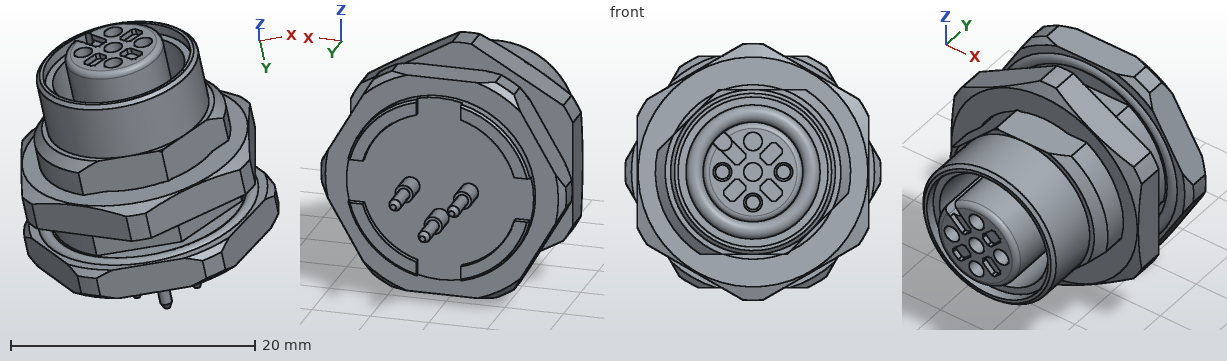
import cadquery as cq
import math


SHROUD_FRONT = 1.5
BODY_FRONT = 6.5
NUT_FRONT = 9.45
NUT_BACK = 12.32
FLANGE_FRONT = 15.3
FLANGE_BACK = 18.03
COLLAR_BACK = 18.53
CROWN_BACK = 19.02
PIN_SHOULDER = 20.5
PIN_TIP = 23.6

BODY_DIAMETER = 16.0
BODY_CHAMFER = 0.8
SHROUD_DIAMETER = 13.5
SHROUD_CHAMFER = 0.3
BODY_FLAT_DISTANCE = SHROUD_DIAMETER / 2
BODY_FLAT_ANGLES = (90, 135, 270, 315)

MOUTH_DIAMETER = 12.3
MOUTH_DEPTH = 0.9
BORE_DIAMETER = 11.0
SEAL_CENTRE = 9.45
INSERT_DIAMETER = 8.17
INSERT_FILLET = 0.5
SEAL_CORD_RADIUS = (BORE_DIAMETER - INSERT_DIAMETER) / 4

HEX_ACROSS_FLATS = 19.0
NUT_CORNER_DIAMETER = 21.05
NUT_FACE_DIAMETER = 18.83
NUT_BORE_DIAMETER = 14.3
NUT_CHAMFER_LENGTH = 0.5
FLANGE_CORNER_DIAMETER = 20.95
FLANGE_CHAMFER = 0.52

GASKET_CORD = 1.2
GASKET_RADIUS = 8.68
GASKET_PROTRUSION = 0.28

CROWN_BORE = SHROUD_DIAMETER
CROWN_CHAMFER = 0.2
CROWN_SLOT_WIDTH = 3.8

CONTACT_RADIUS = 2.5
CONTACT_POINTS = [(-CONTACT_RADIUS, 0), (CONTACT_RADIUS, 0), (0, -CONTACT_RADIUS)]
EMPTY_POINTS = [(0, 0), (0, CONTACT_RADIUS)]
HOLE_DIAMETER = 1.5
HOLE_DEPTH = 4.72
CONTACT_BORE_DIAMETER = 1.15
CONTACT_BORE_DEPTH = 7.08
PIN_DIAMETER = 1.0
PIN_TIP_DIAMETER = 0.5
PIN_TIP_LENGTH = 0.52

POCKET_LENGTH = 1.77
POCKET_WIDTH = 1.23
POCKET_CHAMFER = 0.24
POCKET_DEPTH = 0.5
POCKET_RADIUS = 2.12
POCKET_ANGLES = (45, 135, 225, 315)
KEY_ANGLE = 135
KEY_DIAMETER = 1.32
KEY_CENTRE_RADIUS = 3.4


def revolve(profile):
    """Turn a closed (radius, y) profile about the Y axis."""
    return profile.close().revolve(360, (0, 0, 0), (0, 1, 0))


def turned(points):
    return revolve(cq.Workplane("XY").polyline(points))


def xz_plane(y):
    """Workplane at station y on the axis: local x is X, local y is Z, extrusions run towards -Y."""
    return cq.Workplane("XZ", origin=(0, y, 0))


def cylinder(diameter, start, end, centre=(0, 0)):
    return xz_plane(end).center(*centre).circle(diameter / 2).extrude(end - start)


def turn_about_axis(shape, angle):
    """Turn a shape from +X towards +Z."""
    return shape.rotate((0, 0, 0), (0, 1, 0), -angle)


def hexagon(start, end, corner_angle):
    corner_to_corner = HEX_ACROSS_FLATS / math.cos(math.radians(30))
    prism = xz_plane(end).polygon(6, corner_to_corner).extrude(end - start)
    return turn_about_axis(prism, corner_angle)


def make_body():
    """Threaded body with a chamfered front edge and lengthwise flats."""
    front_radius = BODY_DIAMETER / 2 - BODY_CHAMFER
    radius = BODY_DIAMETER / 2
    body = turned([
        (0, BODY_FRONT),
        (front_radius, BODY_FRONT),
        (radius, BODY_FRONT + BODY_CHAMFER),
        (radius, FLANGE_FRONT),
        (0, FLANGE_FRONT),
    ])
    for angle in BODY_FLAT_ANGLES:
        outside = cq.Workplane("XY").box(
            BODY_DIAMETER, FLANGE_FRONT, 2 * BODY_DIAMETER, centered=(False, False, True)
        ).translate((BODY_FLAT_DISTANCE, 0, 0))
        body = body.cut(turn_about_axis(outside, angle))
    return body


def make_shroud():
    radius = SHROUD_DIAMETER / 2
    return turned([
        (0, SHROUD_FRONT),
        (radius - SHROUD_CHAMFER, SHROUD_FRONT),
        (radius, SHROUD_FRONT + SHROUD_CHAMFER),
        (radius, BODY_FRONT),
        (0, BODY_FRONT),
    ])


def make_socket_cavity():
    """Ring-shaped cavity whose floor is the rounded front of a seal ring."""
    insert_radius = INSERT_DIAMETER / 2
    bore_radius = BORE_DIAMETER / 2
    mouth_radius = MOUTH_DIAMETER / 2
    mouth_end = SHROUD_FRONT + MOUTH_DEPTH
    profile = (
        cq.Workplane("XY")
        .moveTo(insert_radius, 0)
        .lineTo(mouth_radius, 0)
        .lineTo(mouth_radius, mouth_end)
        .lineTo(bore_radius, mouth_end)
        .lineTo(bore_radius, SEAL_CENTRE)
        .threePointArc(
            (insert_radius + SEAL_CORD_RADIUS, SEAL_CENTRE - SEAL_CORD_RADIUS),
            (insert_radius, SEAL_CENTRE),
        )
    )
    return revolve(profile)


def make_insert():
    insert = cylinder(INSERT_DIAMETER, 0, COLLAR_BACK)
    return insert.faces("<Y").edges().fillet(INSERT_FILLET)


def make_nut():
    """Nut whose bore leaves a narrow gap beside each flat of the body."""
    corner_radius = NUT_CORNER_DIAMETER / 2
    envelope = turned([
        (0, NUT_FRONT),
        (NUT_FACE_DIAMETER / 2, NUT_FRONT),
        (corner_radius, NUT_FRONT + NUT_CHAMFER_LENGTH),
        (corner_radius, NUT_BACK),
        (0, NUT_BACK),
    ])
    nut = hexagon(NUT_FRONT, NUT_BACK, 90).intersect(envelope)
    return nut.cut(cylinder(NUT_BORE_DIAMETER, NUT_FRONT, NUT_BACK))


def make_flange():
    envelope = cylinder(FLANGE_CORNER_DIAMETER, FLANGE_FRONT, FLANGE_BACK)
    envelope = envelope.faces("<Y or >Y").edges().chamfer(FLANGE_CHAMFER)
    return hexagon(FLANGE_FRONT, FLANGE_BACK, 0).intersect(envelope)


def make_gasket():
    centre = FLANGE_FRONT - GASKET_PROTRUSION + GASKET_CORD / 2
    cord = cq.Workplane("XY").center(GASKET_RADIUS, centre).circle(GASKET_CORD / 2)
    return cord.revolve(360, (-GASKET_RADIUS, 0, 0), (-GASKET_RADIUS, 1, 0))


def make_crown():
    """Collar behind the flange with a ring that is split by two crossing slots."""
    crown = cylinder(BODY_DIAMETER, FLANGE_BACK, CROWN_BACK).faces(">Y").edges().chamfer(CROWN_CHAMFER)
    crown = crown.cut(cylinder(CROWN_BORE, COLLAR_BACK, CROWN_BACK))
    slot_depth = CROWN_BACK - COLLAR_BACK
    for angle in (0, 90):
        slot = xz_plane(CROWN_BACK).rect(BODY_DIAMETER, CROWN_SLOT_WIDTH).extrude(slot_depth)
        crown = crown.cut(turn_about_axis(slot, angle))
    return crown.union(cylinder(BODY_DIAMETER, FLANGE_BACK, COLLAR_BACK))


def make_pin(centre):
    shoulder = cylinder(HOLE_DIAMETER, COLLAR_BACK, PIN_SHOULDER)
    tip_start = PIN_TIP - PIN_TIP_LENGTH
    pin = turned([
        (0, COLLAR_BACK),
        (PIN_DIAMETER / 2, COLLAR_BACK),
        (PIN_DIAMETER / 2, tip_start),
        (PIN_TIP_DIAMETER / 2, PIN_TIP),
        (0, PIN_TIP),
    ])
    return shoulder.union(pin).translate((centre[0], 0, centre[1]))


def make_contact_bore(centre):
    """Hole that tapers at its bottom into the narrower bore of a contact."""
    hole_radius = HOLE_DIAMETER / 2
    bore_radius = CONTACT_BORE_DIAMETER / 2
    bore = turned([
        (0, 0),
        (hole_radius, 0),
        (hole_radius, HOLE_DEPTH),
        (bore_radius, HOLE_DEPTH + hole_radius - bore_radius),
        (bore_radius, CONTACT_BORE_DEPTH),
        (0, CONTACT_BORE_DEPTH),
    ])
    return bore.translate((centre[0], 0, centre[1]))


def make_face_pocket(angle):
    pocket = xz_plane(POCKET_DEPTH).center(POCKET_RADIUS, 0).rect(POCKET_LENGTH, POCKET_WIDTH)
    pocket = pocket.extrude(POCKET_DEPTH).edges("|Y").chamfer(POCKET_CHAMFER)
    return turn_about_axis(pocket, angle)


def make_coding_groove():
    """Round-bottomed groove along the insert, joined to the pocket beside it."""
    reach = INSERT_DIAMETER / 2 - KEY_CENTRE_RADIUS + INSERT_FILLET
    depth = SEAL_CENTRE - SEAL_CORD_RADIUS
    groove = cylinder(KEY_DIAMETER, 0, depth, (KEY_CENTRE_RADIUS, 0))
    opening = xz_plane(depth).center(KEY_CENTRE_RADIUS + reach / 2, 0).rect(reach, KEY_DIAMETER)
    groove = groove.union(opening.extrude(depth))
    link = xz_plane(POCKET_DEPTH).center((POCKET_RADIUS + KEY_CENTRE_RADIUS) / 2, 0)
    link = link.rect(KEY_CENTRE_RADIUS - POCKET_RADIUS, POCKET_WIDTH).extrude(POCKET_DEPTH)
    return turn_about_axis(groove.union(link), KEY_ANGLE)


result = make_shroud().union(make_body()).union(make_flange()).union(make_nut())
result = result.union(make_gasket()).union(make_crown())
result = result.cut(make_socket_cavity()).union(make_insert())

for point in CONTACT_POINTS:
    result = result.union(make_pin(point)).cut(make_contact_bore(point))
for point in EMPTY_POINTS:
    result = result.cut(cylinder(HOLE_DIAMETER, 0, HOLE_DEPTH, point))
for pocket_angle in POCKET_ANGLES:
    result = result.cut(make_face_pocket(pocket_angle))
result = result.cut(make_coding_groove())